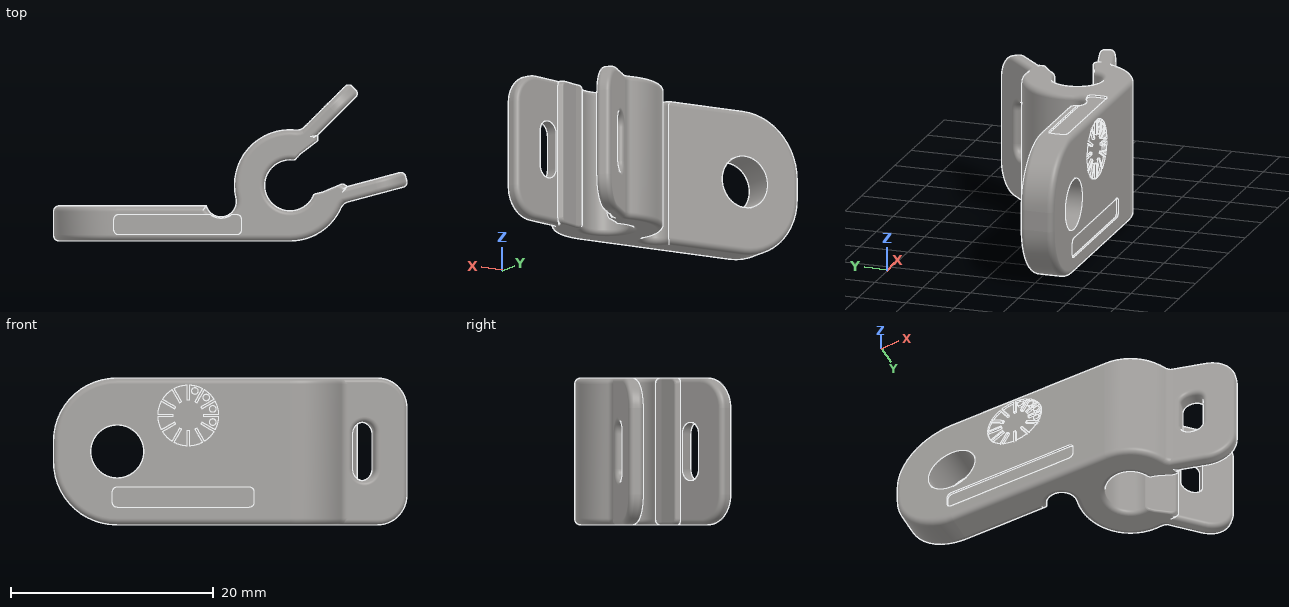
import cadquery as cq
import math

width = 14.5
plate_thickness = 3.5
end_radius = 6.25
rim_fillet = 0.6
hole_diameter = 5.2
hole_x = 6.3

ring_x = 23.34
ring_radius = 5.5
ring_y = ring_radius
bore_radius = 2.5
bore_fillet = 0.5
mouth_angle = 30
mouth_apex = 3.2
blend_radius = 1.0
groove_radius = 1.5
groove_y = 3.9

lip_start = (1.6, math.sqrt(bore_radius**2 - 1.6**2))
lip_bend = (2.45, 2.17)
lip_end = (5.2, 2.52)
lip_rim_end = (4.0, 2.37)
lip_fillet = 0.25

arm_spread = 15
arm_inner = 1.57
lip_root = 5.45
arm_thickness = 1.5
arm_outer = arm_inner + arm_thickness
arm_end = 11.24
arm_overlap = 0.6
arm_corner_radius = 3.0
arm_fillet = 0.5
slot_position = 6.8
slot_width = 2.25
slot_straight = 3.5

recess_depth = 0.2
recess_corner = 0.5
side_recess_length = 12.6
side_recess_height = 2.0
side_recess_x = 12.25
side_recess_y = 1.63
label_length = 14.0
label_height = 2.0
label_x = 12.8
label_z = -4.5
dial_diameter = 6.0
dial_x = 13.3
dial_z = 3.55
spoke_count = 12
spoke_start = 1.5
spoke_width = 0.22
dot_count = 4
dot_diameter = 0.65
dot_distance = 2.5
first_dot_step = -2.5

blend_centre_distance = ring_radius + blend_radius
blend_offset = arm_outer + blend_radius
blend_angle = math.degrees(math.asin(blend_offset / blend_centre_distance))
arm_root = blend_centre_distance * math.cos(math.radians(blend_angle))

groove_distance = ring_radius + groove_radius
groove_drop = ring_y - groove_y
groove_x = ring_x - math.sqrt(groove_distance**2 - groove_drop**2)
groove_edge_x = groove_x - math.sqrt(groove_radius**2 - (groove_y - plate_thickness) ** 2)


def turned(angle, along, across):
    """Point given in axes at the ring centre, turned by angle."""
    c = math.cos(math.radians(angle))
    s = math.sin(math.radians(angle))
    return (ring_x + along * c - across * s, ring_y + along * s + across * c)


def on_ring(angle, radius=ring_radius):
    return turned(angle, radius, 0)


def arm_point(side, along, off):
    """Point on an arm; side is +1 for the upper arm and -1 for the lower one."""
    return turned(mouth_angle + side * arm_spread, along, side * off)


def lip_point(side, place):
    return turned(mouth_angle, place[0], side * place[1])


def blend_middle(side):
    """Middle of the concave arc between the ring and an arm."""
    toward_ring = 180 + blend_angle
    toward_arm = 270
    middle = math.radians((toward_ring + toward_arm) / 2)
    along = arm_root + blend_radius * math.cos(middle)
    off = blend_offset + blend_radius * math.sin(middle)
    return arm_point(side, along, off)


def prism(sketch):
    return sketch.close().extrude(width / 2, both=True)


def make_body():
    """Plate and ring with rounded outer rims, before the mouth is cut."""
    lower_blend = mouth_angle - arm_spread - blend_angle
    upper_blend = mouth_angle + arm_spread + blend_angle
    groove_tangent = 180 + math.degrees(math.asin(groove_drop / groove_distance))
    outline = (
        cq.Workplane("XY")
        .moveTo(0, 0)
        .lineTo(ring_x, 0)
        .threePointArc(on_ring((lower_blend - 90) / 2), on_ring(lower_blend))
        .threePointArc(blend_middle(-1), arm_point(-1, arm_root, arm_outer))
        .lineTo(*arm_point(-1, lip_root, arm_inner))
        .lineTo(*turned(mouth_angle, mouth_apex, 0))
        .lineTo(*arm_point(1, lip_root, arm_inner))
        .lineTo(*arm_point(1, arm_root, arm_outer))
        .threePointArc(blend_middle(1), on_ring(upper_blend))
        .threePointArc(on_ring((upper_blend + groove_tangent) / 2), on_ring(groove_tangent))
        .threePointArc((groove_x, groove_y - groove_radius), (groove_edge_x, plate_thickness))
        .lineTo(0, plate_thickness)
    )
    body = prism(outline).edges("|Y and <X").fillet(end_radius)
    return body.edges("(not |Y) and (not |Z)").fillet(rim_fillet)


def make_mouth():
    """Bore and mouth opening between the lips."""
    outline = (
        cq.Workplane("XY")
        .moveTo(*lip_point(1, lip_start))
        .threePointArc(on_ring(mouth_angle + 180, bore_radius), lip_point(-1, lip_start))
        .lineTo(*lip_point(-1, lip_bend))
        .lineTo(*lip_point(-1, lip_end))
        .lineTo(*lip_point(1, lip_end))
        .lineTo(*lip_point(1, lip_bend))
    )
    return prism(outline)


def round_mouth_rims(body):
    """Round the rims of the bore, then of the lips, on both end faces."""
    bore_box = cq.selectors.BoxSelector(
        (ring_x - bore_radius, ring_y - bore_radius, -width),
        (ring_x + bore_radius, ring_y + bore_radius, width),
    )
    body = body.faces("<Z or >Z").edges("%CIRCLE").edges(bore_box).fillet(bore_fillet)

    lip_rims = []
    for start, end in ((lip_start, lip_bend), (lip_bend, lip_rim_end)):
        for side in (1, -1):
            start_x, start_y = lip_point(side, start)
            end_x, end_y = lip_point(side, end)
            for z in (width / 2, -width / 2):
                middle = ((start_x + end_x) / 2, (start_y + end_y) / 2, z)
                nearest = cq.selectors.NearestToPointSelector(middle)
                lip_rims += body.faces("<Z or >Z").edges(nearest).vals()
    return body.newObject(lip_rims).fillet(lip_fillet)


def make_arm(side):
    """Rounded arm with a slot whose rim is rounded on the outer face."""
    arm_start = arm_root - arm_overlap
    length = arm_end - arm_start
    angle = mouth_angle + side * arm_spread
    middle = arm_point(side, 0, (arm_inner + arm_outer) / 2)
    arm = (
        cq.Workplane("XY")
        .box(length, arm_thickness, width)
        .translate((arm_start + length / 2, 0, 0))
        .edges("|Y and >X")
        .fillet(arm_corner_radius)
        .faces("<Y or >Y")
        .edges("not <X")
        .fillet(arm_fillet)
    )
    slot = (
        cq.Workplane("XZ")
        .center(slot_position, 0)
        .slot2D(slot_straight + slot_width, slot_width, 90)
        .extrude(arm_thickness, both=True)
    )
    outer_face = ">Y" if side > 0 else "<Y"
    reach = slot_width / 2 + arm_fillet
    slot_mouth = cq.selectors.BoxSelector(
        (slot_position - reach, -arm_thickness, -slot_straight),
        (slot_position + reach, arm_thickness, slot_straight),
    )
    arm = arm.cut(slot).faces(outer_face).edges(slot_mouth).fillet(arm_fillet)
    return arm.rotate((0, 0, 0), (0, 0, 1), angle).translate((middle[0], middle[1], 0))


def make_side_recess():
    """Marking panel on the +Z side of the plate."""
    return (
        cq.Workplane("XY")
        .box(side_recess_length, side_recess_height, 2 * recess_depth)
        .edges("|Z")
        .fillet(recess_corner)
        .translate((side_recess_x, side_recess_y, width / 2))
    )


def make_label_recess():
    """Marking panel on the plate's underside."""
    return (
        cq.Workplane("XY")
        .box(label_length, 2 * recess_depth, label_height)
        .edges("|Y")
        .fillet(recess_corner)
        .translate((label_x, 0, label_z))
    )


def make_dial_recess():
    """Round dial with raised spokes around its rim and raised dots between some of them."""
    def disc(radius):
        return cq.Workplane("XZ").circle(radius).extrude(recess_depth, both=True)

    dial = disc(dial_diameter / 2)
    spoke_length = dial_diameter / 2 - spoke_start
    spoke = cq.Workplane("XY").box(spoke_length, 2 * recess_depth, spoke_width)
    spoke = spoke.translate((spoke_start + spoke_length / 2, 0, 0))
    dot = disc(dot_diameter / 2).translate((dot_distance, 0, 0))
    spacing = 360 / spoke_count
    for index in range(spoke_count):
        dial = dial.cut(spoke.rotate((0, 0, 0), (0, 1, 0), index * spacing))
    for index in range(dot_count):
        dial = dial.cut(dot.rotate((0, 0, 0), (0, 1, 0), (first_dot_step + index) * spacing))
    return dial.translate((dial_x, 0, dial_z))


def make_hole():
    hole = cq.Workplane("XZ").center(hole_x, 0).circle(hole_diameter / 2)
    return hole.extrude(-plate_thickness)


result = round_mouth_rims(make_body().cut(make_mouth()))
for side in (1, -1):
    result = result.union(make_arm(side))
for cutter in (make_hole(), make_side_recess(), make_label_recess(), make_dial_recess()):
    result = result.cut(cutter)